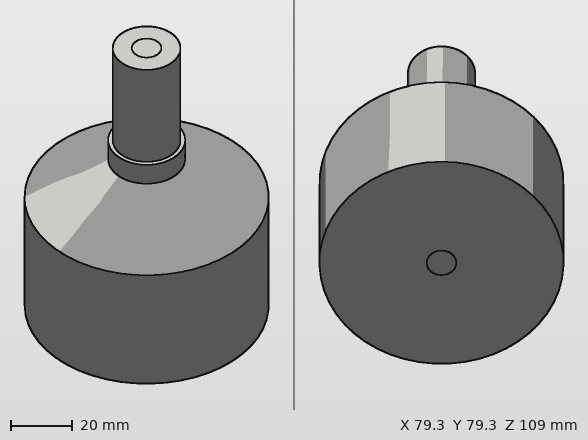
import cadquery as cq

shell_height = 46.0
cone_top = 62.0
collar_top = 70.0
overall_height = 109.0

shell_diameter = 79.26
collar_diameter = 25.0
stem_diameter = 22.0
core_diameter = 9.6


def make_core():
    """Straight rod on the axis, flush with the housing at both ends."""
    return cq.Workplane("XY").circle(core_diameter / 2).extrude(overall_height)


def make_housing(core):
    """Stepped bell: cylinder, cone, collar and stem, bored through for the core."""
    shell_radius = shell_diameter / 2
    collar_radius = collar_diameter / 2
    stem_radius = stem_diameter / 2
    half_profile = (
        cq.Workplane("XZ")
        .moveTo(0, 0)
        .lineTo(shell_radius, 0)
        .lineTo(shell_radius, shell_height)
        .lineTo(collar_radius, cone_top)
        .lineTo(collar_radius, collar_top)
        .lineTo(stem_radius, collar_top)
        .lineTo(stem_radius, overall_height)
        .lineTo(0, overall_height)
        .close()
    )
    bell = half_profile.revolve(360, (0, 0, 0), (0, 1, 0))
    return bell.cut(core)


core = make_core()
housing = make_housing(core)

result = cq.Compound.makeCompound([housing.val(), core.val()])